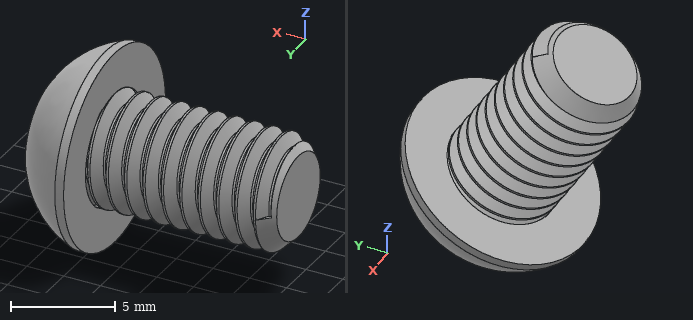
import cadquery as cq
import math

total_length = 13.3
head_diameter = 10.5
head_height = 3.3
rim_length = 0.48
crown_flat_diameter = 5.93
crown_bulge = 0.33

thread_diameter = 6.0
root_diameter = 4.7
pitch = 1.0
crest_width = pitch / 8
tip_diameter = 4.5
groove_start = 0.3
flank_half_angle = math.radians(30)
seam_angle = 120
groove_overlap = 0.08

shank_length = total_length - head_height
anchor_length = pitch
head_radius = head_diameter / 2
thread_radius = thread_diameter / 2
root_radius = root_diameter / 2


def make_shank():
    """Shank along +Z with a 45 degree chamfer at its tip."""
    chamfer = (thread_diameter - tip_diameter) / 2
    shank = cq.Workplane("XY").circle(thread_radius).extrude(shank_length + anchor_length)
    return shank.faces("<Z").chamfer(chamfer).rotate((0, 0, 0), (0, 0, 1), seam_angle)


def make_groove():
    """Right-hand V groove around Z, starting at +X and running past the shank."""
    outer_radius = thread_radius + groove_overlap
    crest_half_gap = (pitch - crest_width) / 2
    slope = math.tan(flank_half_angle)
    outer_half_width = crest_half_gap + groove_overlap * slope
    root_half_width = crest_half_gap - (thread_radius - root_radius) * slope
    turns = math.ceil((shank_length - groove_start) / pitch) + 1
    helix = cq.Wire.makeHelix(pitch, turns * pitch, root_radius)
    path = cq.Workplane(obj=helix.translate(cq.Vector(0, 0, groove_start)))
    return (
        cq.Workplane("XZ")
        .polyline([
            (root_radius, groove_start - root_half_width),
            (outer_radius, groove_start - outer_half_width),
            (outer_radius, groove_start + outer_half_width),
            (root_radius, groove_start + root_half_width),
        ])
        .close()
        .sweep(path, isFrenet=True)
    )


def make_head():
    """Head of revolution around X: short rim, arched crown and a seat for the shank."""
    rim_end = shank_length + rim_length
    crown_radius = crown_flat_diameter / 2
    head = (
        cq.Workplane("XY")
        .moveTo(shank_length, 0)
        .lineTo(shank_length, head_radius)
        .lineTo(rim_end, head_radius)
        .sagittaArc((total_length, crown_radius), crown_bulge)
        .lineTo(total_length, 0)
        .close()
        .revolve(360, (0, 0, 0), (1, 0, 0))
    )
    seat = cq.Workplane("YZ", origin=(shank_length, 0, 0)).circle(thread_radius).extrude(anchor_length)
    return head.cut(seat)


threaded_shank = make_shank().cut(make_groove()).rotate((0, 0, 0), (1, 1, 1), 120)
result = make_head().union(threaded_shank)